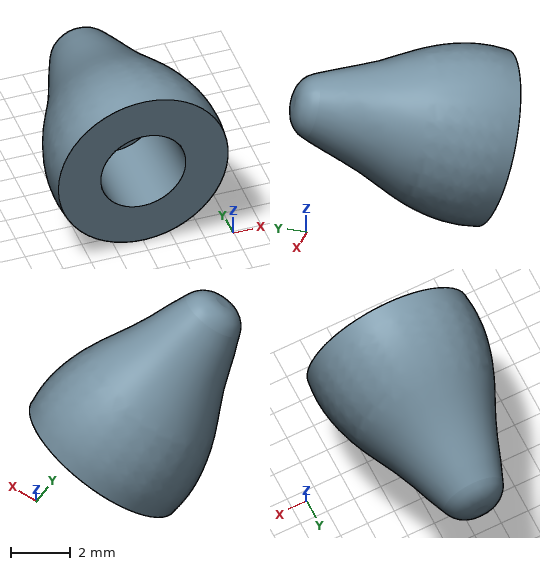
import cadquery as cq
import math

length = 7.01
base_radius = 3.0
bulge_radius = 3.05
bulge_height = 0.735
bore_radius = base_radius / 2
bore_depth = 2 * bore_radius

shoulder_radius = 2.595
shoulder_height = 2.805
waist_radius = 1.8
waist_height = 4.56
neck_radius = 1.33
neck_height = 5.85

tip_flat_radius = 0.28
nose_arc_radius = 0.875
nose_taper = math.radians(20)

base_y = -length / 2


def flank_point(radius, height):
    """Place a point of the half outline on the -X side, at a height above the base."""
    return (-radius, base_y + height)


def nose_point(angle):
    """Place a point on the nose arc, at an angle above the arc's centre."""
    return flank_point(
        tip_flat_radius + nose_arc_radius * math.cos(angle),
        length - nose_arc_radius + nose_arc_radius * math.sin(angle),
    )


def make_body():
    """Revolve the bell-shaped half outline around the Y axis."""
    flank = [
        flank_point(bulge_radius, bulge_height),
        flank_point(shoulder_radius, shoulder_height),
        flank_point(waist_radius, waist_height),
        flank_point(neck_radius, neck_height),
        nose_point(nose_taper),
    ]
    base_direction = (base_radius - bulge_radius, bulge_height / 2)
    nose_direction = (math.sin(nose_taper), math.cos(nose_taper))
    arc_middle = (nose_taper + math.pi / 2) / 2
    outline = (
        cq.Workplane("XY")
        .moveTo(0, base_y)
        .lineTo(-base_radius, base_y)
        .spline(flank, tangents=[base_direction, nose_direction], includeCurrent=True)
        .threePointArc(nose_point(arc_middle), nose_point(math.pi / 2))
        .lineTo(0, base_y + length)
        .close()
    )
    return outline.revolve(360, (0, 0, 0), (0, 1, 0))


def make_bore():
    """Flat-bottomed blind bore entering from the base."""
    outline = (
        cq.Workplane("XY")
        .moveTo(0, base_y)
        .lineTo(-bore_radius, base_y)
        .lineTo(-bore_radius, base_y + bore_depth)
        .lineTo(0, base_y + bore_depth)
        .close()
    )
    return outline.revolve(360, (0, 0, 0), (0, 1, 0))


result = make_body().cut(make_bore())